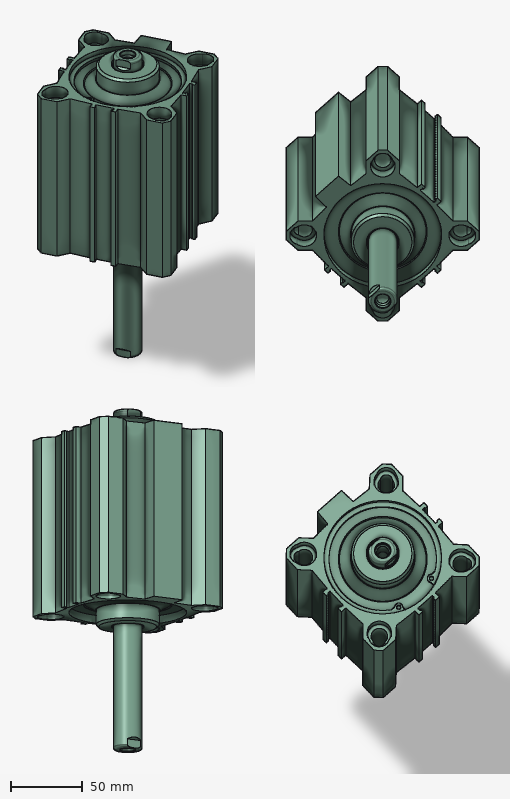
import cadquery as cq
import math


BODY_WIDTH = 100.0
BODY_HALF = BODY_WIDTH / 2
BODY_HEIGHT = 125.8
POST_CHAMFER = 4.5
POST_INNER = 33.6
POST_ROOT = 26.4
WALL_AT_ROOT = 42.8
WALL_AT_RAIL = 43.8

RAIL_OUTER = 9.7
RAIL_STEM = 3.0
RAIL_LIP = 3.6
RAIL_LIP_HEIGHT = 2.2
RAIL_TIP = 48.0
RAIL_SIDE_ANGLES = (0, 90, -90)

OVERALL_DEPTH = 105.0
BLOCK_TIP = OVERALL_DEPTH - BODY_HALF
BLOCK_BASE_HALF = 12.0
BLOCK_TIP_HALF = 11.4

BORE_DIAMETER = 82.0
WIDE_HOLE_AT = 38.7
WIDE_HOLE_DIAMETER = 11.4
WIDE_COUNTERBORE_DIAMETER = 17.0
NARROW_HOLE_AT = 41.0
NARROW_HOLE_DIAMETER = 8.5
NARROW_COUNTERBORE_DIAMETER = 14.0
COUNTERBORE_DEPTH = 9.0

COVER_RECESS = 5.5
COVER_SEAT = 19.4
RIM_INNER_DIAMETER = 62.0
CONE_SLOPE = 30
CONE_DROP = 0.7
LEDGE_WIDTH = 0.5
HUB_DIAMETER = 44.0
HUB_OVERHANG = 10.2
HUB_CHAMFER = 1.7
SEAL_DIAMETER = 23.0
SEAL_CHAMFER = 0.7
SEAL_DEPTH = 2.0

RING_OUTER_DIAMETER = 85.7
RING_INNER_DIAMETER = 75.0
RING_THICKNESS = 2.0
RING_END_X = 13.3
LUG_START_X = 21.0
LUG_TOP_Y = -31.2
LUG_HOLE_X = 15.5
LUG_HOLE_Y = -33.5
LUG_HOLE_DIAMETER = 3.0
LUG_TIP_RADIUS = 3.0
RING_BOTTOM = BODY_HEIGHT - COVER_RECESS

ROD_DIAMETER = 20.0
ROD_LENGTH = 242.0
ROD_OVERHANG = 7.7
ROD_TOP = BODY_HEIGHT + HUB_OVERHANG + ROD_OVERHANG
ROD_MIDDLE = ROD_TOP - ROD_LENGTH / 2
ROD_ROUNDING = 2.0
FLAT_WIDTH = 17.0
FLAT_LENGTH = 5.8
ROD_MOUTH_DIAMETER = 11.4
ROD_COUNTERBORE_DIAMETER = 10.6
ROD_COUNTERBORE_DEPTH = 3.6
ROD_HOLE_DIAMETER = 8.5
ROD_HOLE_DEPTH = 19.4
DRILL_TIP_HEIGHT = 2.5

QUARTER_TURNS = (0, 90, 180, 270)


def cylinder(diameter, height, x=0, y=0, z=0):
    """Upright cylinder standing on the given point."""
    return cq.Workplane("XY", origin=(x, y, z)).circle(diameter / 2).extrude(height)


def mirrored_about(shape, height):
    """The shape reflected in the horizontal plane at the given height."""
    return shape.mirror("XY", (0, 0, height))


def housing_profile():
    chamfer_end = BODY_HALF - POST_CHAMFER
    side = [
        (-chamfer_end, -BODY_HALF),
        (-POST_INNER, -BODY_HALF),
        (-POST_ROOT, -WALL_AT_ROOT),
        (-RAIL_OUTER, -WALL_AT_RAIL),
        (RAIL_OUTER, -WALL_AT_RAIL),
        (POST_ROOT, -WALL_AT_ROOT),
        (POST_INNER, -BODY_HALF),
        (chamfer_end, -BODY_HALF),
    ]
    points = []
    for _ in QUARTER_TURNS:
        points += side
        side = [(-y, x) for x, y in side]
    return cq.Workplane("XY").polyline(points).close().extrude(BODY_HEIGHT)


def rail_pair():
    """Two L-shaped rails on the -Y side with their lips facing each other."""
    stem_x = RAIL_OUTER - RAIL_STEM
    lip_x = RAIL_OUTER - RAIL_LIP
    lip_y = RAIL_LIP_HEIGHT - RAIL_TIP
    rail = (
        cq.Workplane("XY")
        .polyline([
            (RAIL_OUTER, -WALL_AT_ROOT),
            (RAIL_OUTER, -RAIL_TIP),
            (lip_x, -RAIL_TIP),
            (lip_x, lip_y),
            (stem_x, lip_y),
            (stem_x, -WALL_AT_ROOT),
        ])
        .close()
        .extrude(BODY_HEIGHT)
    )
    return rail.union(rail.mirror("YZ"))


def port_block():
    return (
        cq.Workplane("XY")
        .polyline([
            (-BLOCK_BASE_HALF, WALL_AT_ROOT),
            (BLOCK_BASE_HALF, WALL_AT_ROOT),
            (BLOCK_TIP_HALF, BLOCK_TIP),
            (-BLOCK_TIP_HALF, BLOCK_TIP),
        ])
        .close()
        .extrude(BODY_HEIGHT)
    )


def counterbored_hole(offset, diameter, counterbore_diameter):
    """Through hole in the +X +Y post, counterbored at both ends."""
    counterbore = cylinder(
        counterbore_diameter, COUNTERBORE_DEPTH, offset, offset, BODY_HEIGHT - COUNTERBORE_DEPTH
    )
    return (
        cylinder(diameter, BODY_HEIGHT, offset, offset)
        .union(counterbore)
        .union(mirrored_about(counterbore, BODY_HEIGHT / 2))
    )


def make_housing():
    housing = housing_profile().union(port_block())
    for angle in RAIL_SIDE_ANGLES:
        housing = housing.union(rail_pair().rotate((0, 0, 0), (0, 0, 1), angle))

    bolt_hole = counterbored_hole(WIDE_HOLE_AT, WIDE_HOLE_DIAMETER, WIDE_COUNTERBORE_DIAMETER).union(
        counterbored_hole(NARROW_HOLE_AT, NARROW_HOLE_DIAMETER, NARROW_COUNTERBORE_DIAMETER)
    )
    for angle in QUARTER_TURNS:
        housing = housing.cut(bolt_hole.rotate((0, 0, 0), (0, 0, 1), angle))

    ring_groove = cylinder(RING_OUTER_DIAMETER, RING_THICKNESS, z=RING_BOTTOM)
    return housing.cut(cylinder(BORE_DIAMETER, BODY_HEIGHT)).cut(ring_groove)


def make_top_cover():
    """Turned cover: seat in the bore, conical shoulder and hub with a recess for the rod seal."""
    rim_z = BODY_HEIGHT - COVER_RECESS
    bottom_z = rim_z - COVER_SEAT
    hub_z = BODY_HEIGHT + HUB_OVERHANG
    rod_radius = ROD_DIAMETER / 2
    seal_radius = SEAL_DIAMETER / 2
    hub_radius = HUB_DIAMETER / 2
    rim_radius = RIM_INNER_DIAMETER / 2
    cone_foot_radius = rim_radius - CONE_DROP
    cone_top_radius = hub_radius + LEDGE_WIDTH
    cone_foot_z = rim_z - CONE_DROP
    cone_height = (cone_foot_radius - cone_top_radius) * math.tan(math.radians(CONE_SLOPE))
    cone_top_z = cone_foot_z + cone_height
    return (
        cq.Workplane("XZ")
        .polyline([
            (rod_radius, bottom_z),
            (BORE_DIAMETER / 2, bottom_z),
            (BORE_DIAMETER / 2, rim_z),
            (rim_radius, rim_z),
            (cone_foot_radius, cone_foot_z),
            (cone_top_radius, cone_top_z),
            (hub_radius, cone_top_z),
            (hub_radius, hub_z - HUB_CHAMFER),
            (hub_radius - HUB_CHAMFER, hub_z),
            (seal_radius, hub_z),
            (seal_radius - SEAL_CHAMFER, hub_z - SEAL_CHAMFER),
            (seal_radius - SEAL_CHAMFER, hub_z - SEAL_DEPTH),
            (rod_radius, hub_z - SEAL_DEPTH),
        ])
        .close()
        .revolve(360, (0, 0, 0), (0, 1, 0))
    )


def ring_lug():
    """Lug at the +X end of the retaining ring, before it is trimmed to the ring's outside."""
    outer_y = -RING_OUTER_DIAMETER / 2
    plane = cq.Workplane("XY", origin=(0, 0, RING_BOTTOM))
    block = (
        plane.moveTo(RING_END_X, outer_y)
        .lineTo(LUG_START_X, outer_y)
        .lineTo(LUG_START_X, LUG_TOP_Y)
        .lineTo(LUG_HOLE_X, LUG_TOP_Y)
        .lineTo(RING_END_X, LUG_HOLE_Y)
        .close()
        .extrude(RING_THICKNESS)
    )
    tip = cylinder(2 * LUG_TIP_RADIUS, RING_THICKNESS, LUG_HOLE_X, LUG_HOLE_Y, RING_BOTTOM)
    return block.union(tip)


def make_retaining_ring():
    disc = cylinder(RING_OUTER_DIAMETER, RING_THICKNESS, z=RING_BOTTOM)
    gap = (
        cq.Workplane("XY", origin=(0, 0, RING_BOTTOM))
        .rect(2 * RING_END_X, RING_OUTER_DIAMETER)
        .extrude(RING_THICKNESS)
        .translate((0, -RING_OUTER_DIAMETER / 2, 0))
    )
    ring = disc.cut(cylinder(RING_INNER_DIAMETER, RING_THICKNESS, z=RING_BOTTOM)).cut(gap)
    lug = ring_lug().intersect(disc)
    ring = ring.union(lug).union(lug.mirror("YZ"))
    for x in (-LUG_HOLE_X, LUG_HOLE_X):
        ring = ring.cut(cylinder(LUG_HOLE_DIAMETER, RING_THICKNESS, x, LUG_HOLE_Y, RING_BOTTOM))
    return ring


def wrench_flat():
    """Cutter for the -Y wrench flat at the top end, with a 45 degree run-out below it."""
    rod_radius = ROD_DIAMETER / 2
    runout = rod_radius - FLAT_WIDTH / 2
    flat_z = ROD_TOP - FLAT_LENGTH
    return (
        cq.Workplane("YZ")
        .polyline([
            (-FLAT_WIDTH / 2, ROD_TOP),
            (-FLAT_WIDTH / 2, flat_z),
            (-rod_radius, flat_z - runout),
            (-rod_radius, ROD_TOP),
        ])
        .close()
        .extrude(rod_radius, both=True)
    )


def rod_end_hole():
    """Stepped blind hole with a conical drill tip, entering from the top end of the rod."""
    hole_radius = ROD_HOLE_DIAMETER / 2
    step_radius = ROD_COUNTERBORE_DIAMETER / 2
    mouth_radius = ROD_MOUTH_DIAMETER / 2
    mouth_chamfer = mouth_radius - step_radius
    step_z = ROD_TOP - ROD_COUNTERBORE_DEPTH
    floor_z = ROD_TOP - ROD_HOLE_DEPTH
    return (
        cq.Workplane("XZ")
        .polyline([
            (0, ROD_TOP),
            (mouth_radius, ROD_TOP),
            (step_radius, ROD_TOP - mouth_chamfer),
            (step_radius, step_z),
            (hole_radius, step_z - (step_radius - hole_radius)),
            (hole_radius, floor_z),
            (0, floor_z - DRILL_TIP_HEIGHT),
        ])
        .close()
        .revolve(360, (0, 0, 0), (0, 1, 0))
    )


def make_rod():
    rod = cylinder(ROD_DIAMETER, ROD_LENGTH, z=ROD_TOP - ROD_LENGTH).edges().fillet(ROD_ROUNDING)
    top_flats = wrench_flat().union(wrench_flat().mirror("XZ"))
    end_cut = top_flats.union(rod_end_hole())
    return rod.cut(end_cut).cut(mirrored_about(end_cut, ROD_MIDDLE))


housing = make_housing()
top_cover = make_top_cover()
bottom_cover = mirrored_about(top_cover, BODY_HEIGHT / 2)
retaining_ring = make_retaining_ring()
rod = make_rod()

result = cq.Compound.makeCompound([
    housing.val(),
    top_cover.val(),
    bottom_cover.val(),
    retaining_ring.val(),
    rod.val(),
])